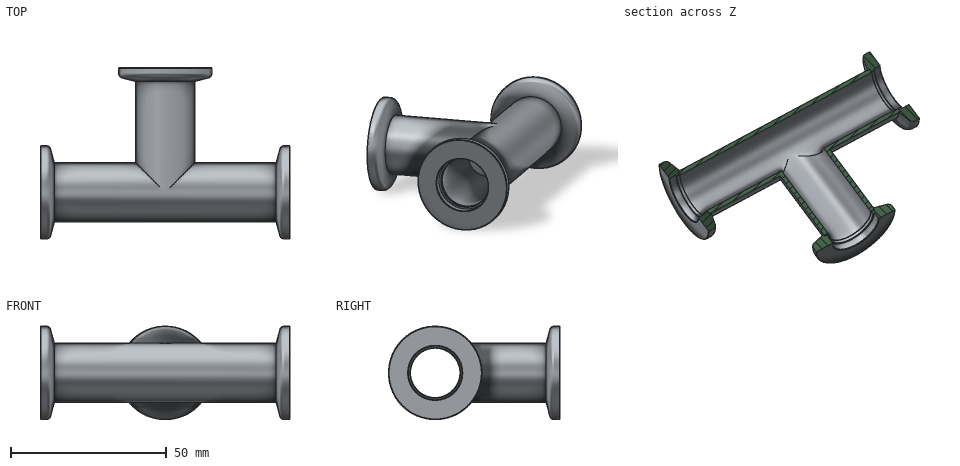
import cadquery as cq
import math

run_length = 80.0
half_run = run_length / 2
branch_reach = half_run

tube_radius = 9.5
tube_bore_radius = 7.9

flange_radius = 15.0
rim_width = 1.8
shoulder_radius = 1.6
back_angle = math.radians(15)
edge_chamfer = 0.2
counterbore_radius = 8.6
counterbore_depth = 2.6
flange_bore_radius = 8.1
tube_end_depth = 3.6


def shoulder_point(angle):
    """Point (radius, depth) on the shoulder arc, measured from the rim."""
    return (
        flange_radius - shoulder_radius * (1 - math.cos(angle)),
        rim_width + shoulder_radius * math.sin(angle),
    )


shoulder_sweep = math.pi / 2 - back_angle
taper_start = shoulder_point(shoulder_sweep)
flange_depth = taper_start[1] + (taper_start[0] - tube_radius) * math.tan(back_angle)


def make_flange():
    """Revolved flange with its face at the origin and its back towards +Z."""
    return (
        cq.Workplane("XZ")
        .moveTo(counterbore_radius + edge_chamfer, 0)
        .lineTo(flange_radius - edge_chamfer, 0)
        .lineTo(flange_radius, edge_chamfer)
        .lineTo(flange_radius, rim_width)
        .threePointArc(shoulder_point(shoulder_sweep / 2), taper_start)
        .lineTo(tube_radius, flange_depth)
        .lineTo(tube_radius, tube_end_depth)
        .lineTo(flange_bore_radius, tube_end_depth)
        .lineTo(flange_bore_radius, counterbore_depth)
        .lineTo(counterbore_radius, counterbore_depth)
        .lineTo(counterbore_radius, edge_chamfer)
        .close()
        .revolve(360, (0, 0, 0), (0, 1, 0))
    )


def make_tee_cylinders(radius):
    """Run and branch cylinders of one radius, joined, ending in the flange sockets."""
    run = cq.Workplane("YZ").circle(radius).extrude(half_run - tube_end_depth, both=True)
    branch = cq.Workplane("XZ").circle(radius).extrude(-(branch_reach - tube_end_depth))
    return run.union(branch)


tee_tube = make_tee_cylinders(tube_radius).cut(make_tee_cylinders(tube_bore_radius))

flange_planes = [
    cq.Plane(origin=(-half_run, 0, 0), xDir=(0, 1, 0), normal=(1, 0, 0)),
    cq.Plane(origin=(half_run, 0, 0), xDir=(0, 1, 0), normal=(-1, 0, 0)),
    cq.Plane(origin=(0, branch_reach, 0), xDir=(1, 0, 0), normal=(0, -1, 0)),
]
flanges = []
for plane in flange_planes:
    flanges.append(make_flange().val().moved(cq.Location(plane)))

result = cq.Compound.makeCompound([tee_tube.val(), *flanges])